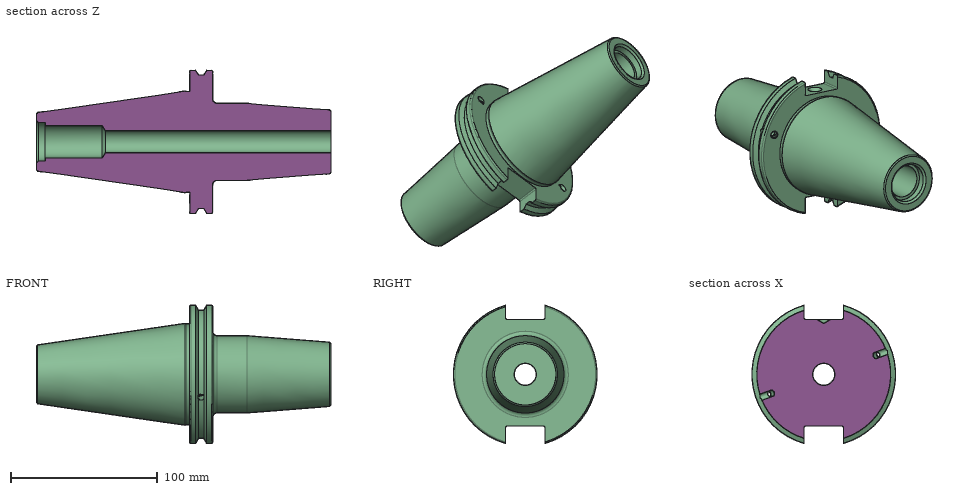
import cadquery as cq
import math


taper_length = 101.6
gauge_diameter = 69.85
taper_ratio = 7 / 24
taper_end_diameter = gauge_diameter - taper_length * taper_ratio
taper_end_chamfer = 0.8

relief_diameter = 69.25
relief_start = 1.1

flange_diameter = 98.425
flange_radius = flange_diameter / 2
flange_start = 3.175
flange_end = 19.05
rim_fillet = 1.0
groove_center = 11.113
groove_floor_radius = 45.9
groove_floor_width = 3.6
groove_flank_angle = 30

slot_width = 26.85
slot_fillet = 0.8
upper_slot_floor = 37.7
lower_slot_floor = 35.5
dimple_diameter = 9.53
drill_tip_angle = 118

neck_diameter = 53.0
neck_fillet = 3.0
neck_end = 42.6
nose_end = 100.0
nose_angle = 4.5
nose_chamfer = 1.0

bore_entry_diameter = 29.0
counterbore_diameter = 26.2
counterbore_depth = 6.0
thread_bore_diameter = 21.97
thread_bore_depth = 45.0
through_diameter = 14.92

coolant_angle = 20
inlet_radius = 41.7
inlet_tilt = 30
inlet_mouth_diameter = 5.0
inlet_mouth_depth = 2.2
inlet_lead = 3.0
passage_diameter = 4.13
cross_hole_diameter = 4.2

cut_margin = 1.0


def drill_tip_length(diameter):
    """Length of the conical end left by a drill."""
    return diameter / 2 / math.tan(math.radians(drill_tip_angle / 2))


def drilled_hole(diameter, depth, start, direction):
    """Blind hole tool with a conical tip below its full-diameter depth."""
    radius = diameter / 2
    tip = depth + drill_tip_length(diameter)
    cylinder = cq.Solid.makeCylinder(radius, depth, start, direction)
    cone_base = start + direction * depth
    cone = cq.Solid.makeCone(radius, 0, tip - depth, cone_base, direction)
    return cq.Workplane(cylinder).union(cq.Workplane(cone))


def revolve_about_x(profile):
    return profile.close().revolve(360, (0, 0, 0), (1, 0, 0))


def make_body():
    taper_end_radius = taper_end_diameter / 2
    neck_radius = neck_diameter / 2
    nose_radius = neck_radius - (nose_end - neck_end) * math.tan(math.radians(nose_angle))
    nose_chamfer_radius = nose_radius + nose_chamfer * math.tan(math.radians(nose_angle))
    profile = (
        cq.Workplane("XZ")
        .moveTo(-taper_length, 0)
        .lineTo(-taper_length, taper_end_radius - taper_end_chamfer)
        .lineTo(
            -taper_length + taper_end_chamfer,
            taper_end_radius + taper_end_chamfer * taper_ratio / 2,
        )
        .lineTo(0, gauge_diameter / 2)
        .lineTo(relief_start, relief_diameter / 2)
        .lineTo(flange_start, relief_diameter / 2)
        .lineTo(flange_start, flange_radius - rim_fillet)
        .radiusArc((flange_start + rim_fillet, flange_radius), rim_fillet)
        .lineTo(flange_end - rim_fillet, flange_radius)
        .radiusArc((flange_end, flange_radius - rim_fillet), rim_fillet)
        .lineTo(flange_end, neck_radius + neck_fillet)
        .radiusArc((flange_end + neck_fillet, neck_radius), -neck_fillet)
        .lineTo(neck_end, neck_radius)
        .lineTo(nose_end - nose_chamfer, nose_chamfer_radius)
        .lineTo(nose_end, nose_radius - nose_chamfer)
        .lineTo(nose_end, 0)
    )
    return revolve_about_x(profile)


def make_rim_groove():
    floor_half_width = groove_floor_width / 2
    rim_radius = flange_radius + cut_margin
    flank_run = (rim_radius - groove_floor_radius) * math.tan(math.radians(groove_flank_angle))
    rim_half_width = floor_half_width + flank_run
    profile = (
        cq.Workplane("XZ")
        .moveTo(groove_center - floor_half_width, groove_floor_radius)
        .lineTo(groove_center - rim_half_width, rim_radius)
        .lineTo(groove_center + rim_half_width, rim_radius)
        .lineTo(groove_center + floor_half_width, groove_floor_radius)
    )
    return revolve_about_x(profile)


def make_bore():
    entry_chamfer = (bore_entry_diameter - counterbore_diameter) / 2
    step_length = drill_tip_length(thread_bore_diameter) - drill_tip_length(through_diameter)
    thread_end = -taper_length + thread_bore_depth
    profile = (
        cq.Workplane("XZ")
        .moveTo(-taper_length, 0)
        .lineTo(-taper_length, bore_entry_diameter / 2)
        .lineTo(-taper_length + entry_chamfer, counterbore_diameter / 2)
        .lineTo(-taper_length + counterbore_depth, counterbore_diameter / 2)
        .lineTo(-taper_length + counterbore_depth, thread_bore_diameter / 2)
        .lineTo(thread_end, thread_bore_diameter / 2)
        .lineTo(thread_end + step_length, through_diameter / 2)
        .lineTo(nose_end, through_diameter / 2)
        .lineTo(nose_end, 0)
    )
    return revolve_about_x(profile)


def make_drive_slot(floor_height, side):
    """Slot through the flange; side is +1 at the top and -1 at the bottom."""
    slot_depth = flange_radius + cut_margin - floor_height
    slot_length = flange_end - flange_start
    slot_middle = (flange_start + flange_end) / 2
    floor_edges = "|X and <Z" if side > 0 else "|X and >Z"
    return (
        cq.Workplane("XY")
        .box(slot_length, slot_width, slot_depth)
        .edges(floor_edges)
        .fillet(slot_fillet)
        .translate((slot_middle, 0, side * (floor_height + slot_depth / 2)))
    )


def make_slot_dimple():
    tip_depth = drill_tip_length(dimple_diameter)
    center = cq.Vector(groove_center, 0, upper_slot_floor)
    cone = cq.Solid.makeCone(dimple_diameter / 2, 0, tip_depth, center, cq.Vector(0, 0, -1))
    return cq.Workplane(cone)


def make_coolant_hole(angle):
    """Inlet leaning towards the part axis, ending on the center line of the radial hole."""
    outward = cq.Vector(0, math.cos(math.radians(angle)), math.sin(math.radians(angle)))
    tilt = math.radians(inlet_tilt)
    axial_run = groove_center - flange_start
    meeting_radius = inlet_radius - axial_run * math.tan(tilt)

    inlet_direction = cq.Vector(math.cos(tilt), 0, 0) - outward * math.sin(tilt)
    inlet_center = outward * inlet_radius + cq.Vector(flange_start, 0, 0)
    mouth = cq.Solid.makeCylinder(
        inlet_mouth_diameter / 2,
        inlet_lead + inlet_mouth_depth,
        inlet_center - inlet_direction * inlet_lead,
        inlet_direction,
    )
    passage = cq.Solid.makeCylinder(
        passage_diameter / 2, axial_run / math.cos(tilt), inlet_center, inlet_direction
    )

    cross_start_radius = groove_floor_radius + cut_margin
    cross_start = outward * cross_start_radius + cq.Vector(groove_center, 0, 0)
    cross_hole = drilled_hole(
        cross_hole_diameter, cross_start_radius - meeting_radius, cross_start, outward * -1
    )
    return cross_hole.union(cq.Workplane(mouth)).union(cq.Workplane(passage))


result = make_body().cut(make_rim_groove()).cut(make_bore())
result = result.cut(make_drive_slot(upper_slot_floor, 1))
result = result.cut(make_drive_slot(lower_slot_floor, -1))
result = result.cut(make_slot_dimple())
for hole_angle in (coolant_angle, coolant_angle + 180):
    result = result.cut(make_coolant_hole(hole_angle))